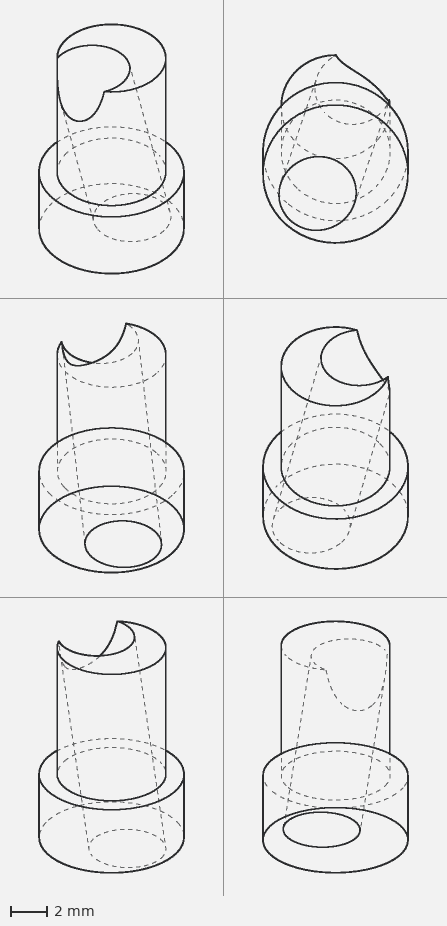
import cadquery as cq
import math

total_height = 12.0
base_diameter = total_height * 2 / 3
base_height = total_height / 3
shaft_diameter = total_height / 2

bore_diameter = 4.2
bore_end_offset = 1.5
bore_tilt = math.degrees(math.atan2(2 * bore_end_offset, total_height))
bore_length = 2 * total_height


def make_body():
    base = cq.Workplane("XY").circle(base_diameter / 2).extrude(base_height)
    shaft = cq.Workplane("XY").circle(shaft_diameter / 2).extrude(total_height)
    return base.union(shaft)


def make_slanted_bore():
    """Cylinder whose upper end leans toward -Y, breaking out of the shaft wall."""
    bore = cq.Workplane("XY").circle(bore_diameter / 2).extrude(bore_length / 2, both=True)
    bore = bore.rotate((0, 0, 0), (1, 0, 0), bore_tilt)
    return bore.translate((0, 0, total_height / 2))


result = make_body().cut(make_slanted_bore())